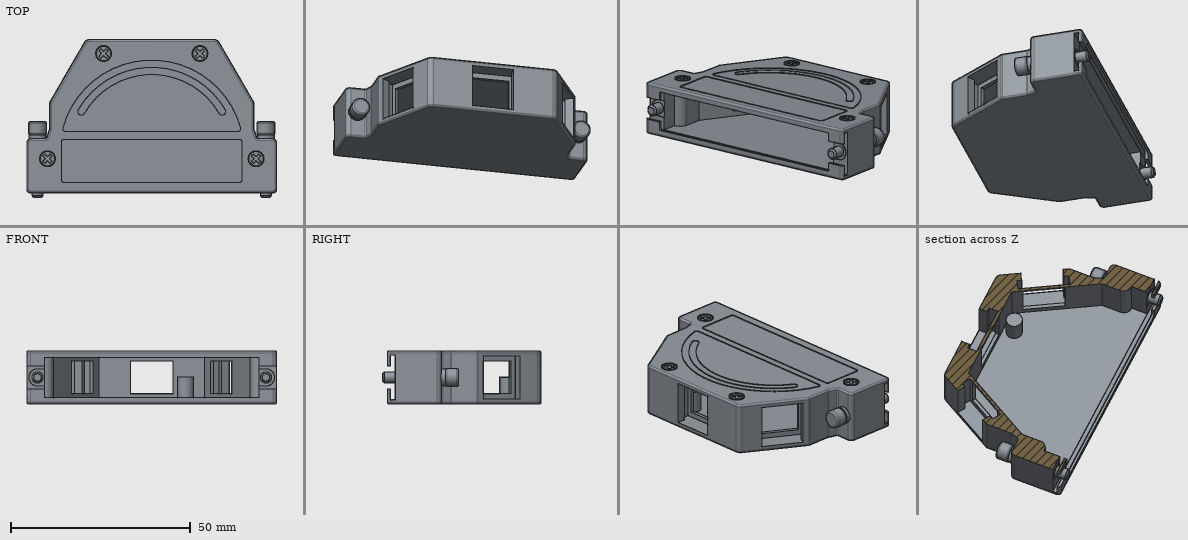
import cadquery as cq
import math


height = 14.8
depth = 42.7
flange_half_width = 34.75
flange_depth = 15.1
neck_half_width = 28.4
neck_start = 17.75
neck_end = 25.1
neck_flare = 0.9
back_half_width = 18.2
flange_front_radius = 1.0
flange_rear_radius = 1.3
neck_foot_radius = 0.5
back_corner_radius = 1.8
rim_radius = 0.55
slope_edge_radius = 0.8
half_height = height / 2

wall = 1.4
port_wall = 6.1
cavity_half_width = 29.85
cavity_half_height = half_height - wall
mouth_half_height = 5.6
mouth_corner_radius = 0.5

lip_thickness = 0.85
seat_depth = 2.15
seat_half_height = 6.2
notch_half_height = 3.2
screw_seat_radius = 2.4
screw_seat_depth = 0.2

port_length = 11.8
port_offset = 1.85
port_outer_height = 12.0
port_inner_height = 9.0
port_groove_start = 2.5
port_groove_end = 5.1
port_groove_extra = 1.3

relief_depth = 0.2
panel_half_width = 25.05
panel_front = 2.9
panel_back = 14.85
panel_corner_radius = 0.6
dome_base = 17.05
dome_center_y = 11.3
dome_radius = 25.6
dome_corner_radius = 0.8
ridge_radius = 22.6
ridge_width = 2.0
ridge_start_angle = 30

back_screw_x = 13.4
back_screw_y = 38.75
flange_screw_x = 29.0
flange_screw_y = 9.5
screw_head_radius = 2.0
screw_recess_radius = 2.2
screw_gap_depth = 0.2
cross_length = 2.9
cross_width = 0.8
cross_depth = 0.5
cross_angles = (45, 135)

flange_boss_x = 29.6
flange_boss_y = 9.15
flange_boss_radius = 2.25
locating_post_x = 9.4
locating_post_y = 33.5
locating_post_radius = 2.25
locating_post_top = 0.05

thumbscrew_x = 31.75
thumbscrew_radius = 1.55
thumbscrew_tip = -1.3
thumbscrew_tip_chamfer = 0.5
head_radius = 2.5
head_start = 16.15
head_end = 19.8
head_edge_radius = 0.5
collar_radius = 2.4


def box(x_min, x_max, y_min, y_max, z_min, z_max):
    """Axis-aligned box given by its limits."""
    size = (x_max - x_min, y_max - y_min, z_max - z_min)
    return cq.Workplane("XY").box(*size, centered=False).translate((x_min, y_min, z_min))


def cylinder_z(x, y, radius, z_min, z_max):
    """Cylinder along Z given by its center and end heights."""
    return cq.Workplane("XY", origin=(x, y, z_min)).circle(radius).extrude(z_max - z_min)


def cylinder_y(x, radius, y_min, y_max):
    """Cylinder along Y on the mid plane."""
    return cq.Workplane("XZ", origin=(x, y_min, 0)).circle(radius).extrude(y_min - y_max)


def mirrored(points):
    """Close a right-half outline with its reflection in the YZ plane."""
    return points + [(-x, y) for x, y in reversed(points)]


def fillet_corner(solid, x, y, radius):
    """Round the two mirrored vertical edges at (x, y) and (-x, y)."""
    reach = 0.05
    for side in (-1, 1):
        corner = cq.selectors.BoxSelector(
            (side * x - reach, y - reach, -half_height),
            (side * x + reach, y + reach, half_height),
        )
        solid = solid.edges(corner).fillet(radius)
    return solid


def make_shell():
    """Solid hood with rounded corners and rounded rims."""
    foot_x = neck_half_width + neck_flare
    outline = mirrored([
        (flange_half_width, 0),
        (flange_half_width, flange_depth),
        (foot_x, flange_depth),
        (neck_half_width, neck_start),
        (neck_half_width, neck_end),
        (back_half_width, depth),
    ])
    shell = cq.Workplane("XY", origin=(0, 0, -half_height)).polyline(outline).close().extrude(height)
    shell = fillet_corner(shell, flange_half_width, 0, flange_front_radius)
    shell = fillet_corner(shell, flange_half_width, flange_depth, flange_rear_radius)
    shell = fillet_corner(shell, foot_x, flange_depth, neck_foot_radius)
    shell = fillet_corner(shell, neck_half_width, neck_start, slope_edge_radius)
    shell = fillet_corner(shell, neck_half_width, neck_end, slope_edge_radius)
    shell = fillet_corner(shell, back_half_width, depth, back_corner_radius)
    return shell.faces("|Z").edges().fillet(rim_radius)


def slope_direction():
    """Unit vector along the right-hand slanted wall, from the neck to the back."""
    run = back_half_width - neck_half_width
    rise = depth - neck_end
    length = math.hypot(run, rise)
    return run / length, rise / length


def make_cavity():
    """Interior space whose back and slanted walls all have the port wall thickness.

    Behind the flange bosses the side walls run straight back, tangent to the bosses.
    """
    along_x, along_y = slope_direction()
    inner_x = neck_half_width - port_wall * along_y
    inner_y = neck_end + port_wall * along_x

    def slope_point(distance):
        return inner_x + distance * along_x, inner_y + distance * along_y

    waist_half_width = flange_boss_x - flange_boss_radius
    front_distance = (waist_half_width - inner_x) / along_x
    back_distance = (depth - port_wall - inner_y) / along_y
    outline = mirrored([
        (cavity_half_width, lip_thickness),
        (cavity_half_width, flange_boss_y),
        (waist_half_width, flange_boss_y),
        slope_point(front_distance),
        slope_point(back_distance),
    ])
    base = cq.Workplane("XY", origin=(0, 0, -cavity_half_height))
    return base.polyline(outline).close().extrude(2 * cavity_half_height)


def cut_mouth(body):
    """Connector mouth through the lip, with the full-width seat and end notches behind it."""
    mouth = box(
        -cavity_half_width, cavity_half_width, 0, seat_depth,
        -mouth_half_height, mouth_half_height,
    ).edges("|Y").fillet(mouth_corner_radius)
    seat = box(
        -flange_half_width, flange_half_width, lip_thickness, seat_depth,
        -seat_half_height, seat_half_height,
    )
    notch = box(
        -flange_half_width, flange_half_width, 0, seat_depth,
        -notch_half_height, notch_half_height,
    )
    return body.cut(mouth).cut(seat).cut(notch)


def cut_screw_seats(body):
    """Shallow U-shaped seats around the thumbscrews, open towards the cavity."""
    seat_end = seat_depth + screw_seat_depth
    for side in (-1, 1):
        x_limits = sorted((side * cavity_half_width, side * thumbscrew_x))
        slot = box(*x_limits, seat_depth, seat_end, -screw_seat_radius, screw_seat_radius)
        round_end = cylinder_y(side * thumbscrew_x, screw_seat_radius, seat_depth, seat_end)
        body = body.cut(slot).cut(round_end)
    return body


def make_port():
    """Stepped cutter for one cable port: outside face at Y = 0, wall towards -Y, centered on X."""
    half_length = port_length / 2
    half_outer = port_outer_height / 2
    half_inner = port_inner_height / 2
    groove_half_length = half_length + port_groove_extra
    outer = box(-half_length, half_length, -port_groove_end, 0, -half_outer, half_outer)
    groove = box(
        -groove_half_length, groove_half_length, -port_groove_end, -port_groove_start,
        -half_outer, half_outer,
    )
    inner = box(-half_length, half_length, -port_wall, 0, -half_inner, half_inner)
    return outer.union(groove).union(inner)


def cut_ports(body):
    """One port in the back wall and one in each slanted wall."""
    along_x, along_y = slope_direction()
    center = port_offset + port_length / 2
    x = neck_half_width + center * along_x
    y = neck_end + center * along_y
    tilt = math.degrees(math.atan2(along_y, -along_x))
    port = make_port()
    body = body.cut(port.translate((0, depth, 0)))
    for side in (-1, 1):
        turned = port.rotate((0, 0, 0), (0, 0, 1), -side * tilt)
        body = body.cut(turned.translate((side * x, y, 0)))
    return body


def make_ridge():
    """Arc-shaped ridge with round ends, concentric with the dome recess."""
    def polar(radius, angle):
        turn = math.radians(angle)
        return radius * math.cos(turn), dome_center_y + radius * math.sin(turn)

    outer = ridge_radius + ridge_width / 2
    inner = ridge_radius - ridge_width / 2
    start = ridge_start_angle
    end = 180 - start
    cap_angle = math.degrees(ridge_width / 2 / ridge_radius)
    base = cq.Workplane("XY", origin=(0, 0, half_height - relief_depth))
    return (
        base.moveTo(*polar(outer, start))
        .threePointArc(polar(outer, 90), polar(outer, end))
        .threePointArc(polar(ridge_radius, end + cap_angle), polar(inner, end))
        .threePointArc(polar(inner, 90), polar(inner, start))
        .threePointArc(polar(ridge_radius, start - cap_angle), polar(outer, start))
        .close()
        .extrude(relief_depth)
    )


def cut_relief(body):
    """Label panel and dome recess, the dome keeping its arc ridge."""
    floor = half_height - relief_depth
    panel = box(
        -panel_half_width, panel_half_width, panel_front, panel_back, floor, half_height,
    ).edges("|Z").fillet(panel_corner_radius)
    base_half_width = math.sqrt(dome_radius**2 - (dome_base - dome_center_y) ** 2)
    dome = (
        cq.Workplane("XY", origin=(0, 0, floor))
        .moveTo(-base_half_width, dome_base)
        .threePointArc((0, dome_center_y + dome_radius), (base_half_width, dome_base))
        .close()
        .extrude(relief_depth)
        .edges("|Z")
        .fillet(dome_corner_radius)
    )
    return body.cut(panel).cut(dome.cut(make_ridge()))


def cut_assembly_screws(body):
    """Ring gap and diagonal cross drive of each assembly screw."""
    gap_floor = half_height - screw_gap_depth
    positions = mirrored([(back_screw_x, back_screw_y), (flange_screw_x, flange_screw_y)])
    for x, y in positions:
        gap = cylinder_z(x, y, screw_recess_radius, gap_floor, half_height)
        gap = gap.cut(cylinder_z(x, y, screw_head_radius, gap_floor, half_height))
        body = body.cut(gap)
        for angle in cross_angles:
            arm = (
                cq.Workplane("XY", origin=(x, y, half_height - cross_depth))
                .transformed(rotate=(0, 0, angle))
                .rect(cross_length, cross_width)
                .extrude(cross_depth)
            )
            body = body.cut(arm)
    return body


def add_posts(body):
    """Screw bosses at the cavity ends and the locating post on the floor."""
    for side in (-1, 1):
        boss = cylinder_z(
            side * flange_boss_x, flange_boss_y, flange_boss_radius,
            -cavity_half_height, cavity_half_height,
        )
        body = body.union(boss)
    post = cylinder_z(
        locating_post_x, locating_post_y, locating_post_radius,
        -cavity_half_height, locating_post_top,
    )
    return body.union(post)


def make_thumbscrew(x):
    """Pin through the flange with its collar and knob behind it."""
    pin = cylinder_y(x, thumbscrew_radius, thumbscrew_tip, flange_depth)
    pin = pin.faces("<Y").chamfer(thumbscrew_tip_chamfer)
    collar = cylinder_y(x, collar_radius, flange_depth - flange_rear_radius, head_start)
    head = cylinder_y(x, head_radius, head_start, head_end).faces("|Y").edges().fillet(head_edge_radius)
    return pin.union(collar).union(head)


body = make_shell().cut(make_cavity())
body = cut_mouth(body)
body = cut_screw_seats(body)
body = cut_ports(body)
body = cut_relief(body)
body = cut_assembly_screws(body)
body = add_posts(body)
for side in (-1, 1):
    body = body.union(make_thumbscrew(side * thumbscrew_x))

result = body